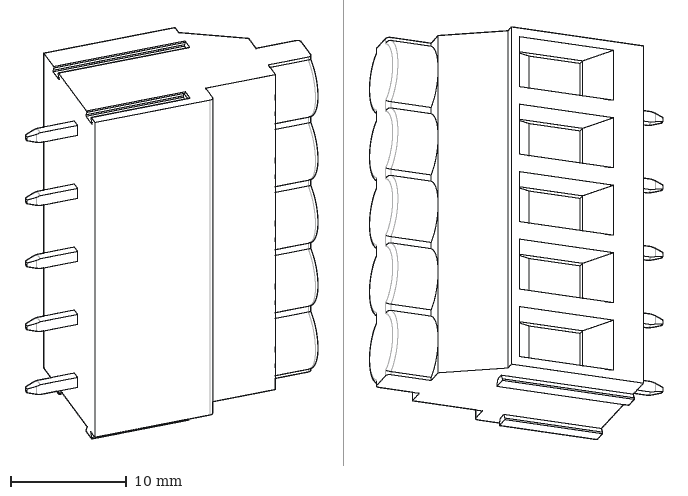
import cadquery as cq
import math

POLES = 5
PITCH = 6.35
ROW_LENGTH = POLES * PITCH

BODY_WIDTH = 12.5
BODY_HEIGHT = 21.5
WIRE_FACE_HEIGHT = 12.15
LEDGE_WIDTH = 0.9
SLOPE_ANGLE = 60
SHOULDER_HEIGHT = 17.45
BACK_STEP_HEIGHT = 11.0
CORNER_RADIUS = 0.35

TOWER_DIAMETER = 6.5
TOWER_RIGHT_X = 10.5
TOWER_CENTER_X = TOWER_RIGHT_X - TOWER_DIAMETER / 2
TOWER_HEIGHT = BODY_HEIGHT - SHOULDER_HEIGHT
RIB_WIDTH = 3.0

FUNNEL_BOTTOM_Y = 2.75
FUNNEL_TOP_Y = 11.4
FUNNEL_WIDTH = 4.7
FUNNEL_DEPTH = 1.8
FUNNEL_SIDE_INSET = 0.6
FUNNEL_BOTTOM_INSET = 2.2
CLAMP_DEPTH = 0.6
CLAMP_RAMP_LENGTH = 1.75

PIN_X = 7.85
PIN_THICKNESS = 0.8
PIN_WIDTH = 1.0
PIN_LENGTH = 4.6
PIN_ROOT = 1.0
PIN_TIP = 0.38
PIN_TAPER_ANGLE = 15

DOVETAILS = [(3.0, WIRE_FACE_HEIGHT), (11.0, 9.0)]
DOVETAIL_HEIGHT = 0.6
DOVETAIL_NECK = 0.86
DOVETAIL_HEAD = 1.4
DOVETAIL_RIM = 0.15
GROOVE_BEVEL = 0.14


def pole_centers():
    return [(pole + 0.5) * PITCH for pole in range(POLES)]


def make_housing():
    slope_run = (SHOULDER_HEIGHT - WIRE_FACE_HEIGHT) / math.tan(math.radians(SLOPE_ANGLE))
    profile = [
        (0, 0),
        (BODY_WIDTH, 0),
        (BODY_WIDTH, BACK_STEP_HEIGHT),
        (TOWER_RIGHT_X, BACK_STEP_HEIGHT),
        (TOWER_RIGHT_X, SHOULDER_HEIGHT),
        (LEDGE_WIDTH + slope_run, SHOULDER_HEIGHT),
        (LEDGE_WIDTH, WIRE_FACE_HEIGHT),
        (0, WIRE_FACE_HEIGHT),
    ]
    housing = cq.Workplane("XY").polyline(profile).close().extrude(ROW_LENGTH)
    back_corner = cq.selectors.NearestToPointSelector((BODY_WIDTH, BACK_STEP_HEIGHT, ROW_LENGTH / 2))
    return housing.edges("|Z").edges(back_corner).fillet(CORNER_RADIUS)


def make_towers():
    rib = (
        cq.Workplane("XY")
        .box(RIB_WIDTH, TOWER_HEIGHT, ROW_LENGTH, centered=(True, False, False))
        .edges("|Z and >Y")
        .fillet(CORNER_RADIUS)
        .translate((TOWER_CENTER_X, SHOULDER_HEIGHT, 0))
    )
    tower = (
        cq.Workplane("XZ")
        .circle(TOWER_DIAMETER / 2)
        .extrude(-TOWER_HEIGHT)
        .faces(">Y")
        .edges()
        .fillet(CORNER_RADIUS)
    )
    towers = rib
    for z in pole_centers():
        towers = towers.union(tower.translate((TOWER_CENTER_X, SHOULDER_HEIGHT, z)))
    envelope = cq.Workplane("XY").box(BODY_WIDTH, BODY_HEIGHT, ROW_LENGTH, centered=False)
    return towers.intersect(envelope)


def make_wire_funnel():
    """Tapered wire entry plus the ramped clamp chamber behind it, centred on Z = 0."""
    inner_bottom_y = FUNNEL_BOTTOM_Y + FUNNEL_BOTTOM_INSET
    inner_width = FUNNEL_WIDTH - 2 * FUNNEL_SIDE_INSET
    mouth_center_y = (FUNNEL_BOTTOM_Y + FUNNEL_TOP_Y) / 2
    inner_center_y = (inner_bottom_y + FUNNEL_TOP_Y) / 2
    funnel = (
        cq.Workplane("YZ")
        .center(mouth_center_y, 0)
        .rect(FUNNEL_TOP_Y - FUNNEL_BOTTOM_Y, FUNNEL_WIDTH)
        .workplane(offset=FUNNEL_DEPTH)
        .center(inner_center_y - mouth_center_y, 0)
        .rect(FUNNEL_TOP_Y - inner_bottom_y, inner_width)
        .loft(ruled=True)
    )
    chamber_floor_x = FUNNEL_DEPTH + CLAMP_DEPTH
    chamber = (
        cq.Workplane("XY")
        .polyline([
            (FUNNEL_DEPTH, inner_bottom_y),
            (chamber_floor_x, inner_bottom_y),
            (chamber_floor_x, FUNNEL_TOP_Y - CLAMP_RAMP_LENGTH),
            (FUNNEL_DEPTH, FUNNEL_TOP_Y),
        ])
        .close()
        .extrude(inner_width / 2, both=True)
    )
    return funnel.union(chamber)


def pin_outline(plane, width):
    """Side outline of a pin: straight shank, then a taper down to the tip."""
    taper_length = (width - PIN_TIP) / 2 / math.tan(math.radians(PIN_TAPER_ANGLE))
    taper_start_y = taper_length - PIN_LENGTH
    right_side = [(width / 2, PIN_ROOT), (width / 2, taper_start_y), (PIN_TIP / 2, -PIN_LENGTH)]
    left_side = [(-across, y) for across, y in reversed(right_side)]
    return cq.Workplane(plane).polyline(right_side + left_side).close()


def make_pin():
    front = pin_outline("XY", PIN_THICKNESS).extrude(PIN_WIDTH, both=True)
    side = pin_outline("ZY", PIN_WIDTH).extrude(PIN_WIDTH, both=True)
    return front.intersect(side)


def make_dovetail(center_x, length):
    """Dovetail bar with its neck at Z = 0 and its wide head below."""
    head_start_z = DOVETAIL_RIM - DOVETAIL_HEIGHT
    right_side = [
        (DOVETAIL_NECK / 2, 0),
        (DOVETAIL_HEAD / 2, head_start_z),
        (DOVETAIL_HEAD / 2, -DOVETAIL_HEIGHT),
    ]
    left_side = [(-x, z) for x, z in reversed(right_side)]
    bar = cq.Workplane("XZ").polyline(right_side + left_side).close().extrude(-length)
    return bar.translate((center_x, 0, 0))


def make_groove_cutter(center_x, length):
    """Dovetail bar widened by a small bevel along its mouth at Z = 0."""
    mouth_length = min(length + GROOVE_BEVEL, WIRE_FACE_HEIGHT)
    mouth_width = DOVETAIL_NECK + 2 * GROOVE_BEVEL
    bevel = (
        cq.Workplane("XY")
        .center(center_x, mouth_length / 2)
        .rect(mouth_width, mouth_length)
        .workplane(offset=-GROOVE_BEVEL)
        .center(0, (length - mouth_length) / 2)
        .rect(DOVETAIL_NECK, length)
        .loft(ruled=True)
    )
    return make_dovetail(center_x, length).union(bevel)


result = make_housing().union(make_towers())

wire_funnel = make_wire_funnel()
pin = make_pin()
for center_z in pole_centers():
    result = result.cut(wire_funnel.translate((0, 0, center_z)))
    result = result.union(pin.translate((PIN_X, 0, center_z)))

for joint_x, joint_length in DOVETAILS:
    result = result.union(make_dovetail(joint_x, joint_length))
    groove_cutter = make_groove_cutter(joint_x, joint_length)
    result = result.cut(groove_cutter.translate((0, 0, ROW_LENGTH)))